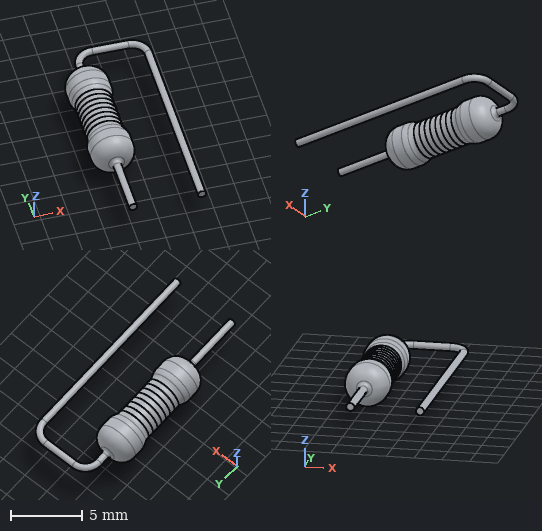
import cadquery as cq
import math

OVERALL_LENGTH = 16.1
LEAD_RADIUS = 0.6 / 2
LEAD_PITCH = 5.0
LEAD_BEND_RADIUS = 4 * LEAD_RADIUS
LEAD_END_Y = -9.1
LEAD_TOP_Y = LEAD_END_Y + OVERALL_LENGTH - LEAD_RADIUS

CAP_RADIUS = 3.2 / 2
CAP_OUTER_Y = 3.38
CAP_INNER_Y = 2.56
DOME_RADIUS = 1.13
NECK_FILLET_RADIUS = 0.3

WAIST_RADIUS = 2.72 / 2
BAND_RADIUS = 2.74 / 2
BAND_COUNT = 4
BAND_WIDTH = 0.47
WAIST_HALF_LENGTH = (2 * BAND_COUNT - 1) * BAND_WIDTH / 2


def shoulder_arcs():
    """Middle points and junction of two equal tangent arcs joining cap to waist."""
    half_length = (CAP_INNER_Y - WAIST_HALF_LENGTH) / 2
    half_step = (CAP_RADIUS - WAIST_RADIUS) / 2
    radius = (half_length**2 + half_step**2) / (2 * half_step)
    half_angle = math.asin(half_length / radius) / 2
    along = radius * math.sin(half_angle)
    drop = radius * (1 - math.cos(half_angle))
    convex_middle = (CAP_RADIUS - drop, CAP_INNER_Y - along)
    junction = (WAIST_RADIUS + half_step, WAIST_HALF_LENGTH + half_length)
    concave_middle = (WAIST_RADIUS + drop, WAIST_HALF_LENGTH + along)
    return convex_middle, junction, concave_middle


def end_cap():
    """Revolved +Y end of the body: shoulder, cap, dome and neck fillet."""
    convex_middle, junction, concave_middle = shoulder_arcs()

    dome_center_r = CAP_RADIUS - DOME_RADIUS
    neck_center_r = LEAD_RADIUS + NECK_FILLET_RADIUS
    center_distance = DOME_RADIUS + NECK_FILLET_RADIUS
    neck_angle = math.acos((neck_center_r - dome_center_r) / center_distance)
    neck_y = CAP_OUTER_Y + center_distance * math.sin(neck_angle)

    def dome_point(angle):
        return (
            dome_center_r + DOME_RADIUS * math.cos(angle),
            CAP_OUTER_Y + DOME_RADIUS * math.sin(angle),
        )

    neck_middle_angle = math.pi + neck_angle / 2
    neck_middle = (
        neck_center_r + NECK_FILLET_RADIUS * math.cos(neck_middle_angle),
        neck_y + NECK_FILLET_RADIUS * math.sin(neck_middle_angle),
    )
    return (
        cq.Workplane("XY")
        .moveTo(0, WAIST_HALF_LENGTH)
        .lineTo(WAIST_RADIUS, WAIST_HALF_LENGTH)
        .threePointArc(concave_middle, junction)
        .threePointArc(convex_middle, (CAP_RADIUS, CAP_INNER_Y))
        .lineTo(CAP_RADIUS, CAP_OUTER_Y)
        .threePointArc(dome_point(neck_angle / 2), dome_point(neck_angle))
        .threePointArc(neck_middle, (LEAD_RADIUS, neck_y))
        .lineTo(0, neck_y)
        .close()
        .revolve(360, (0, 0, 0), (0, 1, 0))
    )


def round_section(upper_face_y, radius, length):
    """Round section on the body axis, running toward -Y from its upper face."""
    return cq.Workplane("XZ", origin=(0, upper_face_y, 0)).circle(radius).extrude(length)


def waist():
    """Plain cylinder with evenly spaced raised bands."""
    body = round_section(WAIST_HALF_LENGTH, WAIST_RADIUS, 2 * WAIST_HALF_LENGTH)
    for index in range(BAND_COUNT):
        upper_face_y = WAIST_HALF_LENGTH - index * 2 * BAND_WIDTH
        body = body.union(round_section(upper_face_y, BAND_RADIUS, BAND_WIDTH))
    return body


def lead():
    """Wire through the body, over two bends and back down beside it."""
    bend_offset = LEAD_BEND_RADIUS * (1 - math.sqrt(0.5))
    bend_start_y = LEAD_TOP_Y - LEAD_BEND_RADIUS
    path = (
        cq.Workplane("XY")
        .moveTo(0, LEAD_END_Y)
        .lineTo(0, bend_start_y)
        .threePointArc((bend_offset, LEAD_TOP_Y - bend_offset), (LEAD_BEND_RADIUS, LEAD_TOP_Y))
        .lineTo(LEAD_PITCH - LEAD_BEND_RADIUS, LEAD_TOP_Y)
        .threePointArc(
            (LEAD_PITCH - bend_offset, LEAD_TOP_Y - bend_offset),
            (LEAD_PITCH, bend_start_y),
        )
        .lineTo(LEAD_PITCH, LEAD_END_Y)
    )
    return cq.Workplane("XZ", origin=(0, LEAD_END_Y, 0)).circle(LEAD_RADIUS).sweep(path)


upper_cap = end_cap()
lower_cap = upper_cap.mirror("XZ")
result = waist().union(upper_cap).union(lower_cap).union(lead())